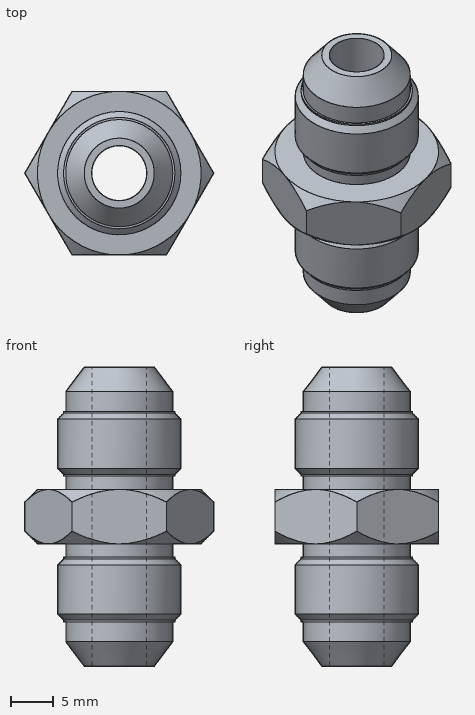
import cadquery as cq
import math

total_length = 34.8
hex_across_flats = 19.05
hex_height = 6.35
bore_diameter = 6.37

nose_tip_radius = 4.07
neck_radius = 6.23
thread_radius = 7.17
thread_end_radius = 6.47

half_length = total_length / 2
thread_start = 4.7
thread_end = 12.25
thread_lip_height = 0.2
thread_taper_height = thread_radius - thread_end_radius
thread_body_start = thread_start + thread_lip_height + thread_taper_height
thread_body_end = thread_end - thread_lip_height - thread_taper_height
nose_cone_start = 14.55

hex_corner_radius = hex_across_flats / math.sqrt(3)
hex_face_radius = hex_across_flats / 2


def hex_body():
    """Hexagon with corners on X, its corners bevelled at 45 degrees on both faces."""
    hexagon = (
        cq.Workplane("XY")
        .polygon(6, 2 * hex_corner_radius)
        .extrude(hex_height / 2, both=True)
    )
    bevel = hex_corner_radius - hex_face_radius
    envelope = (
        cq.Workplane("XY")
        .circle(hex_corner_radius)
        .extrude(hex_height / 2, both=True)
        .faces("|Z")
        .chamfer(bevel)
    )
    return hexagon.intersect(envelope)


def threaded_end():
    """Upper end: neck, thread cylinder with 45 degree tapers and short end lips, and conical nose."""
    profile = [
        (0, 0),
        (neck_radius, 0),
        (neck_radius, thread_start),
        (thread_end_radius, thread_start),
        (thread_end_radius, thread_start + thread_lip_height),
        (thread_radius, thread_body_start),
        (thread_radius, thread_body_end),
        (thread_end_radius, thread_end - thread_lip_height),
        (thread_end_radius, thread_end),
        (neck_radius, thread_end),
        (neck_radius, nose_cone_start),
        (nose_tip_radius, half_length),
        (0, half_length),
    ]
    return cq.Workplane("XZ").polyline(profile).close().revolve(360, (0, 0, 0), (0, 1, 0))


upper_end = threaded_end()
lower_end = upper_end.mirror("XY")
bore = cq.Workplane("XY").circle(bore_diameter / 2).extrude(half_length, both=True)

result = hex_body().union(upper_end).union(lower_end).cut(bore)